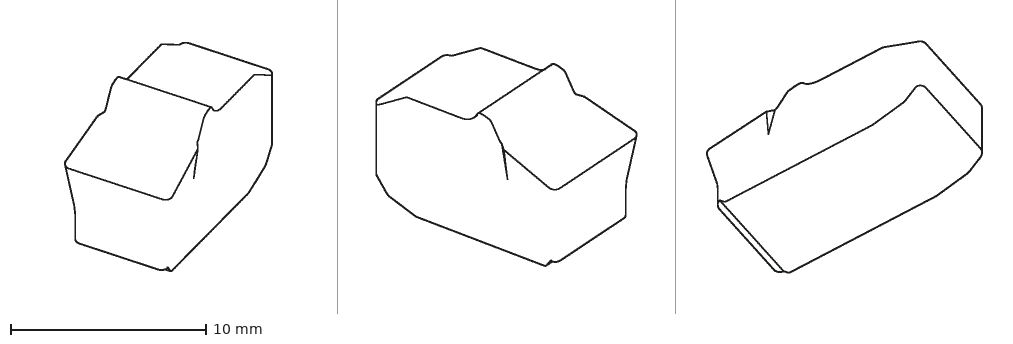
import cadquery as cq
import math

length = 14.0
height = 11.12
body_width = 5.21
head_width = 6.05
half_body = body_width / 2
half_head = head_width / 2
corner_radius = 0.39
selection_margin = 0.07

rake_z = 10.01
relief_end_z = 6.73
land_y = 0.39
land_bottom_z = 4.19
land_ledge_y = 0.73
front_foot_y = 1.08
slope_angle = math.radians(20)

slope_start_y = 10.78
front_foot_z = (slope_start_y - front_foot_y) * math.tan(slope_angle)
foot_blend_radius = 0.42
front_foot_radius = 0.31

back_bottom_z = 0.8
back_top_z = 5.96
back_ledge = 0.31
ledge_inner_y = length - back_ledge
ledge_blend_radius = 0.28
flat_end_y = ledge_inner_y - back_bottom_z

shoulder_y = 11.48
shoulder_z = back_top_z + ledge_inner_y - shoulder_y
shoulder_radius = 0.56
hollow_start_y = 7.45
hollow_start_z = shoulder_z + (shoulder_y - hollow_start_y) * math.tan(slope_angle)
hollow_middle = (6.66, 10.14)
hollow_end = (6.22, 10.8)
ridge_rear_middle = (6.13, 10.93)
ridge_rear_end = (6.0, 11.03)
crown_slope_end = (5.75, 11.1)
crown_rear_y = 5.63
crown_front_y = 5.38
ridge_round_middle = (5.22, 11.09)
ridge_round_end = (5.12, 11.0)
ridge_foot = (4.52, 10.12)
ridge_foot_middle = (4.42, 10.05)
rake_start_y = 4.28
rake_start_z = 10.02
flare_tip_y = 4.37

flare_rear_y = 3.93
flare_rear_z = 7.77
flare_front_y = 0.81
flare_front_z = 6.08
head_rear_y = 3.98


def side_profile(width):
    """Side outline in the YZ plane, extruded symmetrically about X = 0."""
    return (
        cq.Workplane("YZ")
        .moveTo(0, rake_z)
        .lineTo(land_y, relief_end_z)
        .lineTo(land_y, land_bottom_z)
        .lineTo(land_ledge_y, land_bottom_z)
        .lineTo(front_foot_y, front_foot_z)
        .lineTo(slope_start_y, 0)
        .lineTo(flat_end_y, 0)
        .lineTo(ledge_inner_y, back_bottom_z)
        .lineTo(length, back_bottom_z)
        .lineTo(length, back_top_z)
        .lineTo(ledge_inner_y, back_top_z)
        .lineTo(shoulder_y, shoulder_z)
        .lineTo(hollow_start_y, hollow_start_z)
        .threePointArc(hollow_middle, hollow_end)
        .threePointArc(ridge_rear_middle, ridge_rear_end)
        .lineTo(*crown_slope_end)
        .lineTo(crown_rear_y, height)
        .lineTo(crown_front_y, height)
        .threePointArc(ridge_round_middle, ridge_round_end)
        .lineTo(*ridge_foot)
        .threePointArc(ridge_foot_middle, (rake_start_y, rake_start_z))
        .lineTo(head_rear_y, rake_z)
        .close()
        .extrude(width / 2, both=True)
    )


def flare():
    """Wedge standing outside the +X body side, bounded by flat faces."""
    run_out_slope = (flare_rear_z - flare_front_z) / (flare_rear_y - flare_front_y)
    front_z = flare_front_z - run_out_slope * flare_front_y
    lean = (half_head - half_body) / (rake_z - front_z)
    rear_run_out_z = front_z + run_out_slope * head_rear_y
    head_rear_x = half_body + lean * (rake_z - rear_run_out_z)

    inner_top = cq.Vector(half_body, 0, rake_z)
    low_front = cq.Vector(half_body, 0, front_z)
    top_front = cq.Vector(half_head, 0, rake_z)
    top_rear = cq.Vector(head_rear_x, head_rear_y, rake_z)
    rear_rise = (rake_start_z - rake_z) / (rake_start_y - head_rear_y)
    rear_tip_z = rake_z + rear_rise * (flare_tip_y - head_rear_y)
    inner_rear = cq.Vector(half_body, head_rear_y, rake_z)
    rear_tip = cq.Vector(half_body, flare_tip_y, rear_tip_z)
    low_rear = cq.Vector(half_body, flare_rear_y, flare_rear_z)
    outlines = [
        [inner_top, low_front, low_rear, rear_tip, inner_rear],
        [inner_top, inner_rear, top_rear, top_front],
        [inner_rear, rear_tip, top_rear],
        [inner_top, top_front, low_front],
        [rear_tip, low_rear, top_rear],
        [low_front, top_front, top_rear, low_rear],
    ]
    faces = [cq.Face.makeFromWires(cq.Wire.makePolygon(p, close=True)) for p in outlines]
    return cq.Workplane(cq.Solid.makeSolid(cq.Shell.makeShell(faces)))


body = side_profile(body_width)
cross_edge_blends = [
    (shoulder_y, shoulder_z, shoulder_radius),
    (slope_start_y, 0, foot_blend_radius),
    (flat_end_y, 0, foot_blend_radius),
    (front_foot_y, front_foot_z, front_foot_radius),
    (ledge_inner_y, back_bottom_z, ledge_blend_radius),
    (ledge_inner_y, back_top_z, ledge_blend_radius),
]
for edge_y, edge_z, radius in cross_edge_blends:
    cross_edge = cq.selectors.NearestToPointSelector((0, edge_y, edge_z))
    body = body.edges(cross_edge).fillet(radius)

right_flare = flare().intersect(side_profile(head_width))
left_flare = right_flare.mirror("YZ")
part = body.union(right_flare).union(left_flare)

part = part.edges("|Z and >Y").fillet(corner_radius)
front_box = cq.selectors.BoxSelector(
    (-head_width, -land_y, land_bottom_z),
    (head_width, land_y + selection_margin, rake_z - corner_radius),
)
front_corners = part.edges(front_box).edges("not |X")
result = front_corners.fillet(corner_radius)